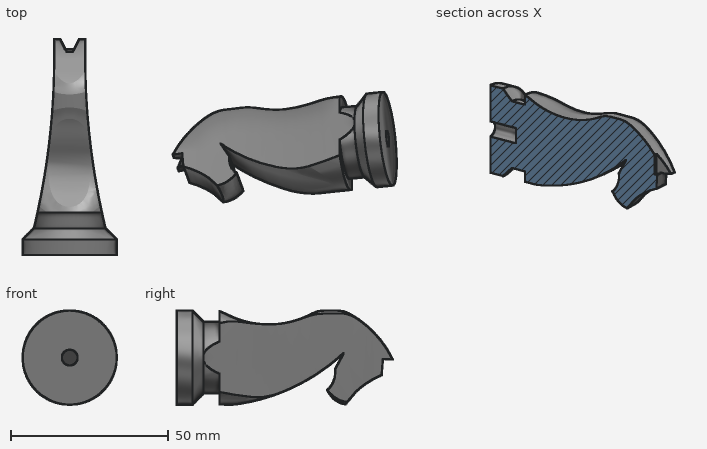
import cadquery as cq
import math

LENGTH = 68.6
STOCK_WIDTH = 30.0
STOCK_RADIUS = STOCK_WIDTH / 2

DISC_END = 5.0
COLLAR_RADIUS = 11.45
CONE_END = 8.5
COLLAR_END = 13.5
HOLE_DIAMETER = 5.0
HOLE_DEPTH = 10.0

SIDE_ARC_RADIUS = 233.95
WAIST_HALF_WIDTH = 4.95
WAIST_Y = 63.1

BLEND_RADIUS = 7.55
MARGIN = 5.5

EAR_TIP = (LENGTH, -0.7)
EAR_ROOT = (65.5, -0.5)
CREST_MIDDLE = (62.7, 7.9)
CREST_TOP = (50.4, 15.9)
SADDLE_Y = 29.2
SADDLE_Z = 10.6
SADDLE_RADIUS = 29.5
SADDLE_HALF_SPAN = 17.15
THROAT = (53.05, 1.45)
CHEST_MIDDLE = (35.8, -10.0)
CHEST_END = (COLLAR_END, -15.4)
BROW = (65.1, -5.55)
NOSE_MIDDLE = (60.8, -7.8)
NOSE_END = (56.95, -10.85)
MUZZLE_TIP = (52.8, -15.7)
LIP = (47.75, -10.35)
JAW_MIDDLE = (49.8, -7.35)
JAW_TOP = (50.2, -3.7)
LIP_SLOPE = 1.6

CREST_RIM_Y = 52.8
SADDLE_FRONT_RIM_Y = 44.6
SADDLE_REAR_RIM_Y = 15.5
CHEST_RIM_Y = 21.95

EAR_GAP_TIP = 3.0
EAR_GAP_ROOT = 0.9
EAR_GAP_END = 64.4


def extrude_outline(outline):
    """Extrude a closed (Y, Z) outline across the full stock width."""
    return outline.extrude(STOCK_RADIUS + MARGIN, both=True)


def side_half_width(y):
    sagitta = SIDE_ARC_RADIUS - math.sqrt(SIDE_ARC_RADIUS**2 - (y - WAIST_Y) ** 2)
    return WAIST_HALF_WIDTH + sagitta


def side_cutter():
    """Material beyond the +X side face, from the cone to the ears."""
    middle = (CONE_END + LENGTH) / 2
    return (
        cq.Workplane("XY")
        .moveTo(side_half_width(CONE_END), CONE_END)
        .threePointArc((side_half_width(middle), middle), (side_half_width(LENGTH), LENGTH))
        .lineTo(STOCK_WIDTH, LENGTH)
        .lineTo(STOCK_WIDTH, CONE_END)
        .close()
        .extrude(STOCK_WIDTH, both=True)
    )


def trim_sides(body):
    cutter = side_cutter()
    return body.cut(cutter).cut(cutter.mirror("YZ"))


def stock():
    """Stock cylinder from the cone to the ears, with its sides hollowed."""
    plane = cq.Workplane("XZ", origin=(0, CONE_END, 0))
    return trim_sides(plane.circle(STOCK_RADIUS).extrude(CONE_END - LENGTH))


def blended(outline, edge_points):
    """Trim the stock to an outline and round the rims nearest to the given points."""
    blank = stock().intersect(extrude_outline(outline))
    for y, z in edge_points:
        blank = blank.edges(cq.selectors.NearestToPointSelector((0, y, z))).fillet(BLEND_RADIUS)
    return blank


def saddle_height(offset):
    """Height of the saddle arc at a Y distance from its lowest point."""
    return SADDLE_Z + SADDLE_RADIUS - math.sqrt(SADDLE_RADIUS**2 - offset**2)


def neck():
    rise = saddle_height(SADDLE_HALF_SPAN)
    outline = (
        cq.Workplane("YZ")
        .moveTo(*EAR_TIP)
        .threePointArc(CREST_MIDDLE, CREST_TOP)
        .lineTo(SADDLE_Y + SADDLE_HALF_SPAN, rise)
        .threePointArc((SADDLE_Y, SADDLE_Z), (SADDLE_Y - SADDLE_HALF_SPAN, rise))
        .lineTo(0, rise)
        .lineTo(0, CHEST_END[1])
        .lineTo(*CHEST_END)
        .threePointArc(CHEST_MIDDLE, THROAT)
        .lineTo(*EAR_ROOT)
        .close()
    )
    rims = [
        (CREST_RIM_Y, STOCK_RADIUS),
        (SADDLE_FRONT_RIM_Y, STOCK_RADIUS),
        (SADDLE_REAR_RIM_Y, STOCK_RADIUS),
        (CHEST_RIM_Y, -STOCK_RADIUS),
    ]
    behind = cq.Workplane("XY").box(STOCK_WIDTH, 2 * COLLAR_END, 3 * STOCK_RADIUS)
    return blended(outline, rims).cut(behind)


def muzzle():
    lip_foot = LIP[0] + (STOCK_RADIUS + MARGIN + LIP[1]) / LIP_SLOPE
    lip_head = LIP[0] + LIP[1] / LIP_SLOPE
    blank_outline = (
        cq.Workplane("YZ")
        .moveTo(lip_head, 0)
        .lineTo(lip_foot, -STOCK_RADIUS - MARGIN)
        .lineTo(LENGTH, -STOCK_RADIUS - MARGIN)
        .lineTo(LENGTH, MARGIN)
        .lineTo(lip_head, MARGIN)
        .close()
    )
    lip_rim = LIP[0] + (STOCK_RADIUS + LIP[1]) / LIP_SLOPE
    blank = blended(blank_outline, [(lip_rim, -STOCK_RADIUS)])
    face = (
        cq.Workplane("YZ")
        .moveTo(*EAR_ROOT)
        .lineTo(*BROW)
        .threePointArc(NOSE_MIDDLE, NOSE_END)
        .lineTo(*MUZZLE_TIP)
        .lineTo(LIP[0], MUZZLE_TIP[1])
        .lineTo(*LIP)
        .threePointArc(JAW_MIDDLE, JAW_TOP)
        .lineTo(*THROAT)
        .close()
    )
    return blank.intersect(extrude_outline(face))


def base():
    return (
        cq.Workplane("XY")
        .lineTo(STOCK_RADIUS, 0)
        .lineTo(STOCK_RADIUS, DISC_END)
        .lineTo(COLLAR_RADIUS, CONE_END)
        .lineTo(COLLAR_RADIUS, COLLAR_END)
        .lineTo(0, COLLAR_END)
        .close()
        .revolve(360, (0, 0, 0), (0, 1, 0))
    )


def ear_gap():
    return (
        cq.Workplane("XY", origin=(0, 0, EAR_TIP[1]))
        .polyline([
            (-EAR_GAP_TIP, LENGTH),
            (-EAR_GAP_ROOT, EAR_GAP_END),
            (EAR_GAP_ROOT, EAR_GAP_END),
            (EAR_GAP_TIP, LENGTH),
        ])
        .close()
        .extrude(STOCK_RADIUS)
    )


hole = cq.Workplane("XZ").circle(HOLE_DIAMETER / 2).extrude(-HOLE_DEPTH)
result = trim_sides(base()).union(neck()).union(muzzle())
result = result.cut(ear_gap()).cut(hole)